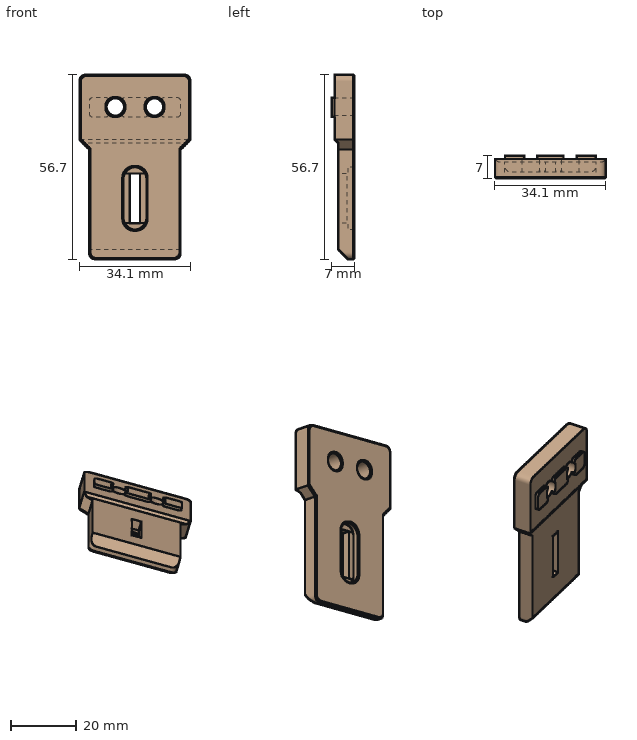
import cadquery as cq


height = 56.7
head_width = 34.1
body_width = 28.15
shoulder = (head_width - body_width) / 2
head_bottom = 36.75
corner_radius = 2.0
edge_chamfer = 0.4
chamfer_angle = 45

head_thickness = 6.0
body_thickness = 5.0
thickness_step = head_thickness - body_thickness
foot_bevel = 3.05

hole_diameter = 5.4
hole_offset = 6.0
hole_height = 46.8

total_thickness = 7.0
key_height = 5.95
side_key_width = key_height
side_key_offset = 11.0
key_center = 46.7
middle_key_width = 8.15
key_radius = 0.95

slot_center = 18.7
recess_width = 7.05
recess_length = 19.15
recess_depth = 2.0
relief_depth = 0.2
window_width = 3.05
window_length = 15.25


def front_sketch(y):
    """Sketch plane parallel to the front face whose normal points to +Y; local x runs to -X."""
    return cq.Workplane(cq.Plane(origin=(0, y, 0), xDir=(-1, 0, 0), normal=(0, 1, 0)))


def make_plate():
    head_half = head_width / 2
    body_half = body_width / 2
    outline = [
        (-body_half, 0),
        (body_half, 0),
        (body_half, head_bottom - shoulder),
        (head_half, head_bottom),
        (head_half, height),
        (-head_half, height),
        (-head_half, head_bottom),
        (-body_half, head_bottom - shoulder),
    ]
    plate = front_sketch(0).polyline(outline).close().extrude(head_thickness)
    plate = plate.edges("|Y").edges(">Z or <Z").fillet(corner_radius)
    plate = plate.faces("<Y").chamfer(edge_chamfer)

    side_profile = [
        (0, 0),
        (body_thickness - foot_bevel, 0),
        (body_thickness, foot_bevel),
        (body_thickness, head_bottom - thickness_step),
        (head_thickness, head_bottom),
        (head_thickness, height),
        (0, height),
    ]
    profile = cq.Workplane("YZ").polyline(side_profile).close().extrude(head_half, both=True)
    return plate.intersect(profile)


def make_key(x, width):
    key = front_sketch(body_thickness).center(-x, key_center).rect(width, key_height)
    return key.extrude(total_thickness - body_thickness).edges("|Y").fillet(key_radius)


def make_screw_hole(x):
    hole = front_sketch(0).center(-x, hole_height).circle(hole_diameter / 2).extrude(total_thickness)
    countersink_radius = hole_diameter / 2 + edge_chamfer
    countersink = front_sketch(0).center(-x, hole_height).circle(countersink_radius)
    return hole.union(countersink.extrude(edge_chamfer, taper=chamfer_angle))


def slot_outline(margin=0):
    """Round-ended recess outline, grown outward by margin."""
    sketch = front_sketch(0).center(0, slot_center)
    return sketch.slot2D(recess_length + 2 * margin, recess_width + 2 * margin, 90)


def slot_block(width, depth):
    """Square-ended block as long as the window, cut from the front face."""
    return front_sketch(0).center(0, slot_center).rect(width, window_length).extrude(depth)


def make_slot():
    recess = slot_outline().extrude(recess_depth)
    lead_in = slot_outline(edge_chamfer).extrude(edge_chamfer, taper=chamfer_angle)

    relief_bottom = recess_depth + relief_depth
    relief = slot_outline().extrude(relief_bottom).intersect(slot_block(recess_width, relief_bottom))

    window = slot_block(window_width, body_thickness)
    return recess.union(lead_in).union(relief).union(window)


result = make_plate().union(make_key(0, middle_key_width))
for side in (-1, 1):
    result = result.union(make_key(side * side_key_offset, side_key_width))

for side in (-1, 1):
    result = result.cut(make_screw_hole(side * hole_offset))

result = result.cut(make_slot())